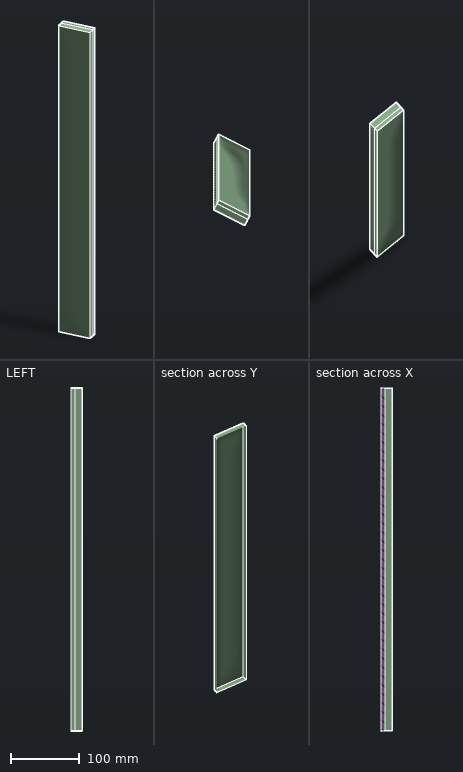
import cadquery as cq

width = 52.0
depth = 16.8
height = 499.0

corner_radius = 0.8
front_edge_radius = 1.7

wall = 1.0
plate_thickness = 6.0

back_y = depth / 2
cavity_width = width - 2 * wall
cavity_depth = depth - wall
cavity_height = height - 2 * wall


def block_from_back(size_x, size_y, size_z):
    """Block centred in X and Z, with its rear face flush with the back of the housing."""
    block = cq.Workplane("XY").box(size_x, size_y, size_z)
    return block.translate((0, back_y - size_y / 2, 0))


def make_housing():
    """Long shallow tray, open at the back, with rounded corners and a rounded front rim."""
    shell = block_from_back(width, depth, height)
    shell = shell.edges("|Y").fillet(corner_radius)
    shell = shell.faces("<Y").edges().fillet(front_edge_radius)
    cavity = block_from_back(cavity_width, cavity_depth, cavity_height)
    return shell.cut(cavity).solids()


def make_back_plate():
    """Plate that fits between the housing walls, flush with their rear rims."""
    return block_from_back(cavity_width, plate_thickness, cavity_height)


housing = make_housing()
back_plate = make_back_plate()

result = cq.Compound.makeCompound([housing.val(), back_plate.val()])